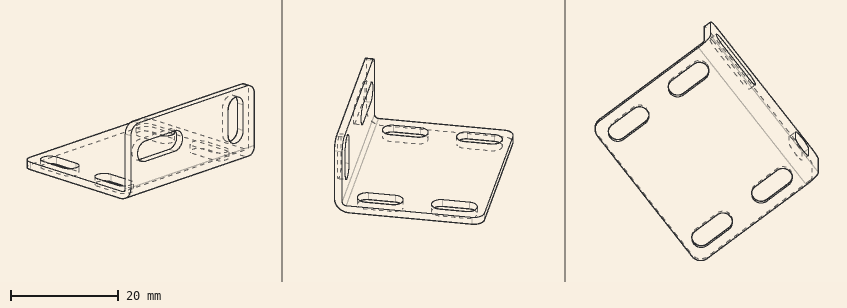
import cadquery as cq

length = 28.0
width = 33.0
height = 15.0
thickness = 1.5
bend_inner_radius = 0.75
bend_outer_radius = 2.8
corner_radius = 2.0

base_slot_length = 8.58
base_slot_width = 3.5
base_slot_first_x = 6.0
base_slot_spacing_x = 14.0
base_slot_spacing_y = 25.5

wall_slot_width = 4.0
wall_slot_z = 9.0
vertical_slot_length = 9.0
vertical_slot_edge_distance = 5.0
horizontal_slot_length = 12.0
horizontal_slot_edge_distance = 7.75


def make_bent_sheet():
    """L profile with a rounded bend, extruded symmetrically about Y = 0."""
    inner_x = length - thickness
    profile = (
        cq.Workplane("XZ")
        .polyline([
            (0, 0),
            (length, 0),
            (length, height),
            (inner_x, height),
            (inner_x, thickness),
            (0, thickness),
        ])
        .close()
    )
    sheet = profile.extrude(width / 2, both=True)
    sheet = sheet.edges("|Y and >X and <Z").fillet(bend_outer_radius)
    inner_bend = cq.selectors.NearestToPointSelector((inner_x, 0, thickness))
    return sheet.edges(inner_bend).fillet(bend_inner_radius)


def round_free_corners(sheet):
    """Round the two corners at the free end of each leg."""
    sheet = sheet.edges("|Z and <X").fillet(corner_radius)
    return sheet.edges("|X and >Z").fillet(corner_radius)


def make_base_slots():
    """Four slot cutters through the base."""
    centres = [
        (base_slot_first_x + column * base_slot_spacing_x, side * base_slot_spacing_y / 2)
        for column in (0, 1)
        for side in (-1, 1)
    ]
    return (
        cq.Workplane("XY")
        .pushPoints(centres)
        .slot2D(base_slot_length, base_slot_width)
        .extrude(thickness)
    )


def make_wall_slot(y, slot_length, angle):
    """One slot cutter through the wall; an angle of 0 runs along Y, 90 along Z."""
    return (
        cq.Workplane("YZ", origin=(length - thickness, 0, 0))
        .center(y, wall_slot_z)
        .slot2D(slot_length, wall_slot_width, angle)
        .extrude(thickness)
    )


vertical_slot_y = width / 2 - vertical_slot_edge_distance
horizontal_slot_y = -width / 2 + horizontal_slot_edge_distance

result = (
    round_free_corners(make_bent_sheet())
    .cut(make_base_slots())
    .cut(make_wall_slot(vertical_slot_y, vertical_slot_length, 90))
    .cut(make_wall_slot(horizontal_slot_y, horizontal_slot_length, 0))
)